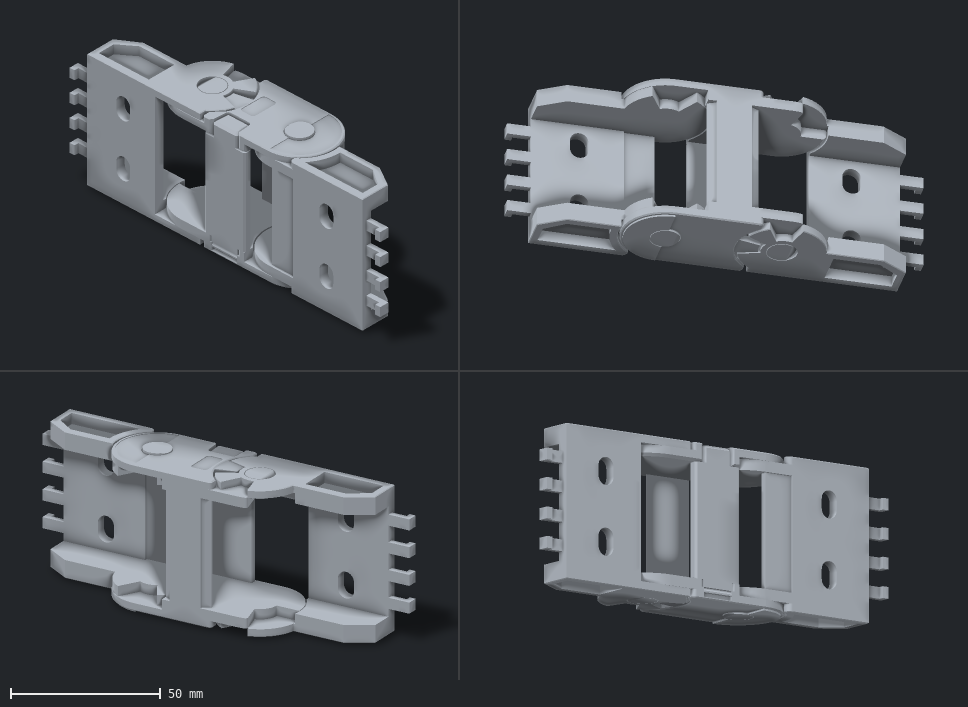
import cadquery as cq
import math

half_length = 71.7
half_pitch = 20.1
wall_out = 26.5
wall_mid = 23.7
wall_in = 20.0
pin_proud_end = 54.3 / 2

disc_r = 15.0
link_r = 30.5 / 2
hinge_gap = 0.6
socket_r = 15.9
pin_r = 5.0
hole_r = 5.3
hub_r = 6.5
link_pin_flat = 2.6
bracket_pin_flat = 3.5
link_pin_drop = 1.7
bracket_pin_drop = 0.5
sector_reach = 28.7

bracket_end = 63.5
bracket_top = 2.9
plate_low = -disc_r
plate_high = -11.0
left_plate_edge = 32.3
right_plate_edge = 31.5
bevel_foot = (bracket_end, -2.7)
bevel_head_x = 54.5
pocket_depth = 4.0
pocket_low = -12.2
pocket_high = 0.1
pocket_end = 61.0
pocket_bevel_y = -4.9
pocket_bevel_x = 53.9
left_pocket_edge = 37.9
right_pocket_r = 18.6
edge_chamfer = 0.3
toe_x = 29.7
toe_fillet = 1.9

slot_x, slot_z = 46.9, 12.0
slot_width, slot_length = 6.3, 9.6
tooth_count, tooth_pitch, tooth_width = 4, 10.0, 4.0
tooth_low = -13.2
hook_length = 2.3

lip_edge = 20.8
lip_low = -14.0
lip_high = -12.0

stop_inner_r = 7.2
open_stop = (61, 105)
tooth_stop = (-17, 28)
link_tooth = (-17, 13)
link_tooth_r = 8.0
tooth_drop = 0.5
link_notch = (105, 180)
notch_fillet = 0.9
bracket_notch = (60, 121)

foot_x, foot_y = -11.5, -12.0
foot_top_x, foot_top_y = -6.7, -7.5
mouth_x = -10.2
mouth_y = 12.2
mouth_fillet = 1.3
mouth_cut_y = -7.7

bar_half = 9.3
bar_high = -12.3
bar_bevel = 0.7
tab_low_half, tab_high_half = 5.9, 5.3
tab_high = -7.7
tab_end = 26.1
tab_foot = -22.5
tab_bevel = 1.0
tab_fillet = 1.1
socket_bevel = 1.0
ledge_bevel = 1.1
slit_half, slit_depth = 5.9, 1.5
slit_z = (-25.8, -24.2)
back_half, back_ridge_half = 8.9, 6.0
back_low, back_shoulder, back_ridge = 12.3, 12.8, 14.2

core_edge = 9.0
rim_chamfer = 0.5
half_disc_r = 14.2
half_disc_recess = 0.3
badge_size = (6.3, 11.6)
badge_center = (-0.22, 1.5)
badge_fillet = 1.3
badge_depth = 0.3


def slab(outline, z0, z1):
    """Extrude a closed XY outline from z0 up to z1."""
    return outline.extrude(z1 - z0).translate((0, 0, z0))


def both_walls(shape):
    """The shape together with its mirror image across the mid plane z = 0."""
    return shape.union(shape.mirror("XY"))


def box(x0, x1, y0, y1, z0, z1):
    outline = cq.Workplane("XY").center((x0 + x1) / 2, (y0 + y1) / 2).rect(x1 - x0, y1 - y0)
    return slab(outline, z0, z1)


def disc(x, radius, z0, z1):
    return slab(cq.Workplane("XY").center(x, 0).circle(radius), z0, z1)


def polar(x, radius, degrees):
    angle = math.radians(degrees)
    return (x + radius * math.cos(angle), radius * math.sin(angle))


def sector(x, inner_r, outer_r, angles, z0, z1):
    """Ring sector about the hinge axis at x."""
    start, end = angles
    middle = (start + end) / 2
    outline = (
        cq.Workplane("XY")
        .moveTo(*polar(x, inner_r, start))
        .lineTo(*polar(x, outer_r, start))
        .threePointArc(polar(x, outer_r, middle), polar(x, outer_r, end))
        .lineTo(*polar(x, inner_r, end))
        .threePointArc(polar(x, inner_r, middle), polar(x, inner_r, start))
        .close()
    )
    return slab(outline, z0, z1)


def pin(x, end, flat, drop):
    """Hinge pin from the tongue outward, its -X side sloped as a snap-in lead."""
    stud = disc(x, pin_r, wall_mid, end)
    lead = (
        cq.Workplane("XZ")
        .polyline([(x - flat, end), (x - pin_r, end), (x - pin_r, end - drop)])
        .close()
        .extrude(pin_r, both=True)
    )
    return stud.cut(lead)


def bracket_wall_outline(side, inner_x):
    """Side wall outline from the bracket end to inner_x; side is -1 (left) or +1 (right)."""
    return (
        cq.Workplane("XY")
        .polyline([
            (inner_x, plate_low),
            (side * bracket_end, plate_low),
            (side * bevel_foot[0], bevel_foot[1]),
            (side * bevel_head_x, bracket_top),
            (inner_x, bracket_top),
        ])
        .close()
    )


def pocket(side, inner_x):
    """Recess in the outer face of a bracket wall."""
    outline = (
        cq.Workplane("XY")
        .polyline([
            (inner_x, pocket_low),
            (side * pocket_end, pocket_low),
            (side * pocket_end, pocket_bevel_y),
            (side * pocket_bevel_x, pocket_high),
            (inner_x, pocket_high),
        ])
        .close()
    )
    return slab(outline, wall_out - pocket_depth, wall_out)


def screw_slots(side):
    return (
        cq.Workplane("XZ", origin=(0, plate_high, 0))
        .pushPoints([(side * slot_x, slot_z), (side * slot_x, -slot_z)])
        .slot2D(slot_length, slot_width, 90)
        .extrude(plate_high - plate_low)
    )


def comb(side):
    """Row of hooked teeth on the end of a base plate."""
    outline = (
        cq.Workplane("XY")
        .polyline([
            (side * bracket_end, plate_high),
            (side * half_length, plate_high),
            (side * half_length, plate_low),
            (side * (half_length - hook_length), plate_low),
            (side * (half_length - hook_length), tooth_low),
            (side * bracket_end, tooth_low),
        ])
        .close()
    )
    tooth = slab(outline, -tooth_width / 2, tooth_width / 2)
    teeth = cq.Workplane("XY")
    for i in range(tooth_count):
        z = (i - (tooth_count - 1) / 2) * tooth_pitch
        teeth = teeth.add(tooth.translate((0, 0, z)))
    return teeth.combine()


def base_plate(side, inner_x):
    x0, x1 = sorted((inner_x, side * bracket_end))
    return box(x0, x1, plate_low, plate_high, -wall_in, wall_in).cut(screw_slots(side))


def make_left_bracket():
    hinge_x = -half_pitch
    inner = slab(bracket_wall_outline(-1, -left_plate_edge), wall_in, wall_mid)
    inner = inner.cut(disc(hinge_x, disc_r + hinge_gap, wall_in, wall_mid))

    foot = (
        cq.Workplane("XY")
        .polyline([
            (hinge_x, plate_low),
            (foot_x, plate_low),
            (foot_x, foot_y),
            (foot_top_x, foot_top_y),
            (hinge_x, 0),
        ])
        .close()
    )
    outer = slab(bracket_wall_outline(-1, hinge_x), wall_mid, wall_out)
    outer = outer.union(disc(hinge_x, disc_r, wall_mid, wall_out))
    outer = outer.union(slab(foot, wall_mid, wall_out)).clean()
    outer = outer.faces(">Z").edges().chamfer(edge_chamfer)
    for angles in (open_stop, tooth_stop):
        outer = outer.cut(sector(hinge_x, stop_inner_r, sector_reach, angles, wall_mid, wall_out))
    outer = outer.cut(disc(hinge_x, hole_r, wall_mid, wall_out))

    wall = inner.union(outer).cut(pocket(-1, -left_pocket_edge))
    return both_walls(wall).union(base_plate(-1, -left_plate_edge)).union(comb(-1))


def make_right_bracket():
    hinge_x = half_pitch
    outer = slab(bracket_wall_outline(1, toe_x), wall_mid, wall_out)
    outer = outer.edges("|Z and <X and <Y").fillet(toe_fillet)
    outer = outer.cut(disc(hinge_x, socket_r, wall_mid, wall_out))
    outer = outer.faces(">Z").edges().chamfer(edge_chamfer)

    inner = slab(bracket_wall_outline(1, hinge_x), wall_in, wall_mid)
    inner = inner.union(disc(hinge_x, disc_r, wall_in, wall_mid))
    inner = inner.cut(sector(hinge_x, hub_r, sector_reach, bracket_notch, wall_in, wall_mid))

    recess = pocket(1, hinge_x).cut(disc(hinge_x, right_pocket_r, wall_in, wall_out))
    wall = inner.union(outer).cut(recess)
    wall = wall.union(pin(hinge_x, pin_proud_end, bracket_pin_flat, bracket_pin_drop))

    lip = box(lip_edge, right_plate_edge, lip_low, lip_high, -wall_in, wall_in)
    return both_walls(wall).union(base_plate(1, right_plate_edge)).union(lip).union(comb(1))


def link_outer_outline():
    """Outer layer: concave mouth around the left disc, rounded end around the right hinge."""
    hinge_x = -half_pitch
    arc_top = (mouth_x, mouth_y)
    arc_low = (hinge_x + math.sqrt(socket_r**2 - mouth_cut_y**2), mouth_cut_y)
    return (
        cq.Workplane("XY")
        .moveTo(mouth_x, link_r)
        .lineTo(half_pitch, link_r)
        .threePointArc((half_pitch + link_r, 0), (half_pitch, -link_r))
        .lineTo(mouth_x, -link_r)
        .lineTo(mouth_x, -mouth_y)
        .lineTo(*arc_low)
        .threePointArc((hinge_x + socket_r, 0), arc_top)
        .close()
    )


def link_wall():
    """One side wall of the link, with its pin, tongue and stop tooth."""
    hinge_x = -half_pitch
    outer = slab(link_outer_outline(), wall_mid, wall_out)
    for corner in ("<X and >Y", "<X and <Y"):
        outer = outer.edges(f"|Z and {corner}").fillet(mouth_fillet)
    outer = outer.faces(">Z").edges().chamfer(rim_chamfer)
    tooth_top = wall_out - tooth_drop
    tooth = sector(hinge_x, link_tooth_r, socket_r + hinge_gap, link_tooth, wall_mid, tooth_top)
    outer = outer.union(tooth).cut(disc(half_pitch, hole_r, wall_mid, wall_out))

    tongue = disc(hinge_x, link_r, wall_in, wall_mid)
    tongue = tongue.cut(sector(hinge_x, hub_r, sector_reach, link_notch, wall_in, wall_mid))
    tongue = tongue.edges("|Z and >Y").fillet(notch_fillet)
    core = box(hinge_x, core_edge, -link_r, link_r, wall_in, wall_mid)
    core = core.cut(disc(half_pitch, disc_r + hinge_gap, wall_in, wall_mid))
    inner = core.union(tongue)
    return outer.union(inner).union(pin(hinge_x, wall_out, link_pin_flat, link_pin_drop))


def back_bar():
    outline = (
        cq.Workplane("XY")
        .polyline([
            (-back_half, back_low),
            (back_half, back_low),
            (back_half, back_shoulder),
            (back_ridge_half, back_ridge),
            (back_ridge_half, link_r),
            (-back_ridge_half, link_r),
            (-back_ridge_half, back_ridge),
            (-back_half, back_shoulder),
        ])
        .close()
    )
    return slab(outline, -wall_in, wall_in)


def half_disc(z0, z1):
    """Half disc on the +X side of the right hinge, without the pin hole."""
    half = disc(half_pitch, half_disc_r, z0, z1).cut(disc(half_pitch, hole_r, z0, z1))
    return half.intersect(box(half_pitch, half_length, -link_r, link_r, z0, z1))


def tab(z0, z1):
    """Trapezoidal crossbar tab with rounded inner corners."""
    outline = (
        cq.Workplane("XY")
        .polyline([
            (-tab_low_half, -link_r),
            (tab_low_half, -link_r),
            (tab_high_half, tab_high),
            (-tab_high_half, tab_high),
        ])
        .close()
    )
    return slab(outline, z0, z1).edges("|Z and >Y").fillet(tab_fillet)


def ledge_slope():
    """Wedge taken off the link edge under the lower tab."""
    wedge = (
        cq.Workplane("YZ")
        .polyline([
            (-link_r, tab_foot),
            (-link_r, tab_foot - ledge_bevel),
            (-link_r + ledge_bevel, tab_foot),
        ])
        .close()
    )
    return wedge.extrude(tab_low_half, both=True)


def bevel_tab_sockets(link):
    """Bevel the lower mouth edges of both tab notches and the inner edge of the upper wall."""
    reach = 0.1
    y0, y1 = -link_r - reach, -link_r + reach
    guide_x = tab_low_half + reach
    inner_edge = cq.selectors.BoxSelector((-half_pitch, y0, wall_in - reach), (core_edge, y1, wall_in + reach))
    upper_guides = cq.selectors.BoxSelector((-guide_x, y0, wall_in), (guide_x, y1, wall_out))
    lower_guides = cq.selectors.BoxSelector((-guide_x, y0, tab_foot + reach), (guide_x, y1, -wall_in))
    return link.edges(inner_edge + upper_guides + lower_guides).chamfer(socket_bevel)


def make_link():
    link = both_walls(link_wall()).union(back_bar())
    link = link.cut(tab(wall_in, wall_out)).cut(tab(tab_foot, -wall_in))
    link = bevel_tab_sockets(link).cut(ledge_slope())
    link = link.cut(box(-slit_half, slit_half, -link_r, slit_depth - link_r, *slit_z))
    link = link.cut(half_disc(wall_out - half_disc_recess, wall_out))
    link = link.union(half_disc(-pin_proud_end, -wall_out))
    badge = box(-badge_size[0] / 2, badge_size[0] / 2, -badge_size[1] / 2, badge_size[1] / 2, 0, badge_depth)
    badge = badge.edges("|Z").fillet(badge_fillet)
    return link.cut(badge.translate((*badge_center, wall_out - badge_depth)))


def make_crossbar():
    bar = box(-bar_half, bar_half, -link_r, bar_high, -wall_in, wall_in)
    bar = bar.edges("|Z and <Y").chamfer(bar_bevel)
    upper_tab = tab(wall_in, tab_end)
    upper_tab = upper_tab.edges("|Z and <Y").chamfer(tab_bevel)
    upper_tab = upper_tab.faces(">Z").edges().chamfer(tab_bevel)
    lower_tab = tab(tab_foot, -wall_in)
    return bar.union(upper_tab).union(lower_tab)


left_bracket = make_left_bracket()
right_bracket = make_right_bracket()
link = make_link()
crossbar = make_crossbar()

bodies = [left_bracket, right_bracket, link, crossbar]
result = cq.Compound.makeCompound([body.solids().val() for body in bodies])